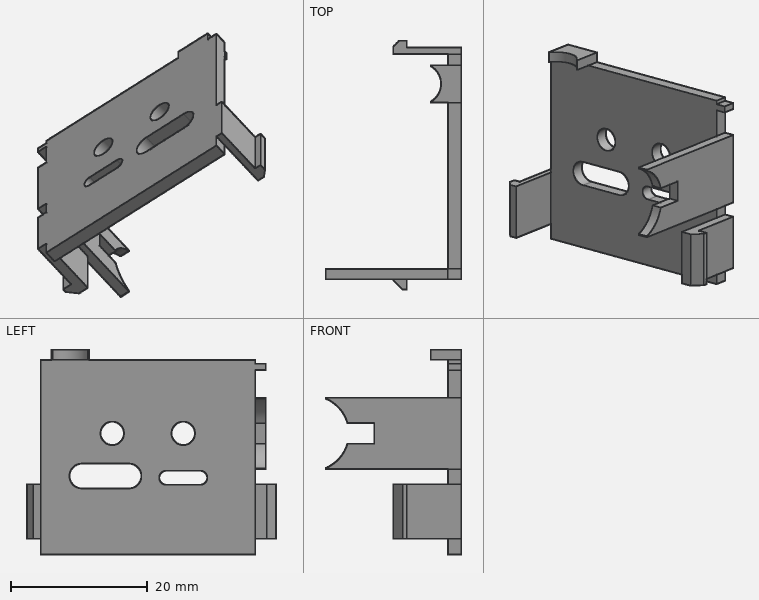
import cadquery as cq

plate_thickness = 2.0
plate_width = 31.45
plate_height = 28.5
near_tab_thickness = 1.55

hole_diameter = 3.4
hole_z = 17.75
near_hole_y = 10.55
far_hole_y = 20.95
wide_slot_length = 10.5
wide_slot_height = 3.6
wide_slot_y = 21.95
wide_slot_z = 11.5
narrow_slot_length = 7.0
narrow_slot_height = 2.0
narrow_slot_z = 11.25

snap_reach = 8.0
snap_bottom = 2.3
snap_height = 8.0
catch_length = 2.0
catch_land = 0.1
near_catch_height = 1.5
far_snap_thickness = 1.0
far_catch_height = 1.0

saddle_reach = 17.9
saddle_height = 10.5
saddle_z = 17.75
saddle_radius = 5.5
saddle_axis_x = -20.0
notch_height = 3.0
notch_end_x = -10.8

top_tab_thickness = 1.5
top_tab_reach = 2.5
top_tab_width = 5.5
top_tab_y = 27.1
top_tab_radius = 3.0
top_tab_axis_x = -4.0

stop_height = 0.95
stop_bottom = 27.0


def box(x_range, y_range, z_range):
    """Box spanning the given (low, high) limits along each axis."""
    (x0, x1), (y0, y1), (z0, z1) = x_range, y_range, z_range
    return cq.Workplane("XY").box(x1 - x0, y1 - y0, z1 - z0, centered=False).translate((x0, y0, z0))


def slot_cutter(length, height, y, z):
    """Obround cutter lengthwise along Y that passes through the plate."""
    return cq.Workplane("YZ").center(y, z).slot2D(length, height).extrude(plate_thickness)


def back_plate():
    plate = box((0, plate_thickness), (0, plate_width), (0, plate_height))
    holes = (
        cq.Workplane("YZ")
        .pushPoints([(near_hole_y, hole_z), (far_hole_y, hole_z)])
        .circle(hole_diameter / 2)
        .extrude(plate_thickness)
    )
    wide_slot = slot_cutter(wide_slot_length, wide_slot_height, wide_slot_y, wide_slot_z)
    narrow_slot = slot_cutter(narrow_slot_length, narrow_slot_height, near_hole_y, narrow_slot_z)
    return plate.cut(holes).cut(wide_slot).cut(narrow_slot)


def snap_arm(edge_y, outward, thickness, catch_height):
    """Arm beside the plate edge at edge_y; outward is the sign of its direction along Y."""
    arm_face = edge_y + outward * thickness
    catch_face = arm_face + outward * catch_height
    catch_back = catch_length - snap_reach
    return (
        cq.Workplane("XY", origin=(0, 0, snap_bottom))
        .moveTo(plate_thickness, edge_y)
        .lineTo(-snap_reach, edge_y)
        .lineTo(-snap_reach, arm_face + outward * catch_land)
        .lineTo(catch_height - catch_land - snap_reach, catch_face)
        .lineTo(catch_back, catch_face)
        .lineTo(catch_back, arm_face)
        .lineTo(plate_thickness, arm_face)
        .close()
        .extrude(snap_height)
    )


def saddle_arm():
    y_range = (-near_tab_thickness, 0)
    half_height = saddle_height / 2
    half_notch = notch_height / 2
    arm = box((-saddle_reach, plate_thickness), y_range, (saddle_z - half_height, saddle_z + half_height))
    notch = box((-saddle_reach, notch_end_x), y_range, (saddle_z - half_notch, saddle_z + half_notch))
    cradle = (
        cq.Workplane("XZ")
        .center(saddle_axis_x, saddle_z)
        .circle(saddle_radius)
        .extrude(near_tab_thickness)
    )
    return arm.cut(notch).cut(cradle)


def top_tab():
    half_width = top_tab_width / 2
    tab = box(
        (-top_tab_reach, plate_thickness),
        (top_tab_y - half_width, top_tab_y + half_width),
        (plate_height, plate_height + top_tab_thickness),
    )
    cradle = (
        cq.Workplane("XY", origin=(0, 0, plate_height))
        .center(top_tab_axis_x, top_tab_y)
        .circle(top_tab_radius)
        .extrude(top_tab_thickness)
    )
    return tab.cut(cradle)


def stop_block():
    return box((0, plate_thickness), (-near_tab_thickness, 0), (stop_bottom, stop_bottom + stop_height))


result = (
    back_plate()
    .union(snap_arm(0, -1, near_tab_thickness, near_catch_height))
    .union(snap_arm(plate_width, 1, far_snap_thickness, far_catch_height))
    .union(saddle_arm())
    .union(top_tab())
    .union(stop_block())
)